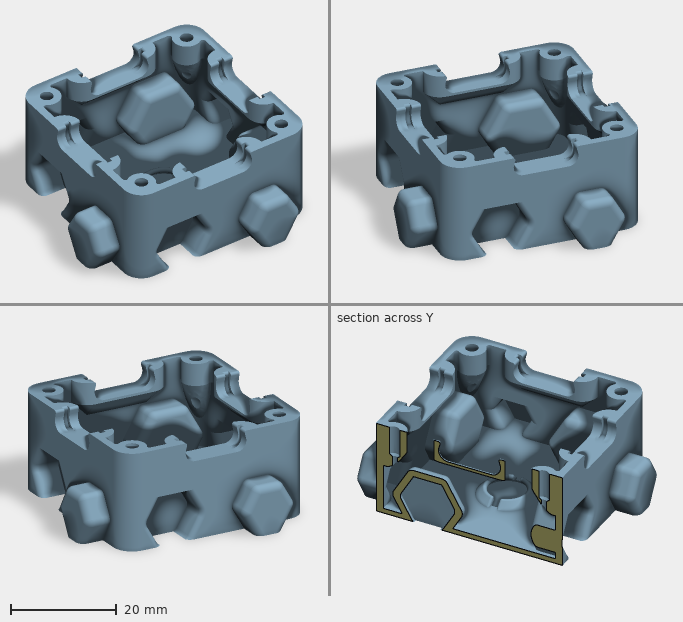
import cadquery as cq
import math

body_side = 40.0
body_height = 20.0
body_corner_radius = 4.0
wall = 1.6
floor_thickness = 1.15

hex_offset = 9.0
hex_height = 5.05
plug_apothem = 5.0
plug_length = 5.0
hex_fillet = 1.5
shell_thickness = 1.5
socket_apothem = 5.2
socket_depth = 5.4
socket_flare = 1.0
hollow_flare = 1.5

post_offset = 16.0
post_radius = 2.8
post_fillet = 0.5
post_foot = 15.5
post_slope = 1.65
screw_hole_diameter = 2.6
screw_tip_diameter = 1.8
screw_hole_depth = 6.0
screw_hole_foot = 8.0

block_half_length = 6.4
block_depth = 3.4
block_foot = 15.5
notch_floor = 16.0
notch_half_floor = 4.6
notch_radius = 2.0
notch_lean = math.radians(15)
lip_radius = 0.45
groove_depth = 0.8
groove_width = 1.2

seat_radius = 5.0
seat_depth = 0.4
ring_outer_radius = 6.05
ring_crest_radius = 4.65
ring_inner_radius = 3.95
ring_height = 1.4
ring_slot = 1.5
ring_end_fillet = 0.4

half_body = body_side / 2
half_cavity = half_body - wall
cavity_corner_radius = body_corner_radius - wall
shell_face = half_body - socket_depth - shell_thickness
socket_top = hex_height + socket_apothem
hollow_apothem = plug_apothem - shell_thickness
hollow_top = hex_height + hollow_apothem
plug_end = half_body + plug_length
spare = 10.0
quarter_turns = (0, 90, 180, 270)


def turned(solid, angle):
    return solid.rotate((0, 0, 0), (0, 0, 1), angle)


def level_slab(low, high):
    """Wide slab between two heights, used to trim solids."""
    side = 2 * (plug_end + spare)
    return cq.Workplane("XY").workplane(offset=low).rect(side, side).extrude(high - low)


def rounded_block(half_side, corner_radius, low):
    """Square block with round corners, from a given height up to the rim."""
    block = cq.Workplane("XY").workplane(offset=low).rect(2 * half_side, 2 * half_side)
    return block.extrude(body_height - low).edges("|Z").fillet(corner_radius)


def pointed_hexagon(apothem, point_side):
    """Hexagon with one flat (1: top, -1: bottom) replaced by the point where its neighbours meet."""
    radius = apothem * 2 / math.sqrt(3)
    flat = -point_side * apothem
    point = point_side * 2 * apothem
    return [(-radius / 2, flat), (radius / 2, flat), (radius, 0), (0, point), (-radius, 0)]


def wall_prism(points, center_x, start_y, length):
    """Prism on the -Y wall, running outward (toward -Y) for a positive length."""
    plane = cq.Workplane("XZ", origin=(center_x, start_y, hex_height))
    return plane.polyline(points).close().extrude(length)


def plug():
    """Rounded plug that stands out from the wall."""
    outline = pointed_hexagon(plug_apothem, -1)
    solid = wall_prism(outline, hex_offset, -half_cavity, plug_end - half_cavity)
    solid = solid.edges("|Y").fillet(hex_fillet).faces("<Y").edges().fillet(hex_fillet)
    return solid.intersect(level_slab(0, body_height))


def socket_shell():
    """Rounded cover inside the cavity that encloses the socket."""
    length = half_cavity + wall / 2 - shell_face
    outline = pointed_hexagon(socket_apothem + shell_thickness, -1)
    solid = wall_prism(outline, -hex_offset, -shell_face, -length).translate((0, -length, 0))
    solid = solid.edges("|Y").fillet(hex_fillet).faces(">Y").edges().fillet(hex_fillet)
    return solid.intersect(level_slab(0, body_height))


def flared_cutter(prism, center_x, mouth_y, direction, flare, low, high):
    """Widen a prism with a rounded mouth at mouth_y, then trim it to the pocket it cuts.

    The direction is 1 when the pocket runs toward +Y from its mouth and -1 toward -Y.
    """
    side = 2 * half_body
    mouth = cq.Workplane("XZ", origin=(center_x, mouth_y, hex_height))
    flange = mouth.rect(side, side).extrude(direction * spare)
    flared = prism.union(flange)
    rim_box = cq.selectors.BoxSelector(
        (center_x - side / 2 + 0.5, mouth_y - 0.05, hex_height - side / 2 + 0.5),
        (center_x + side / 2 - 0.5, mouth_y + 0.05, hex_height + side / 2 - 0.5),
    )
    flared = flared.edges(rim_box).fillet(flare)
    beyond_mouth = mouth.rect(2 * side, 2 * side).extrude(direction * 2 * spare)
    return flared.cut(beyond_mouth).intersect(level_slab(low, high))


def plug_hollow():
    """Hollow of the plug, open to the cavity."""
    length = plug_end - shell_thickness - half_cavity
    prism = wall_prism(pointed_hexagon(hollow_apothem, -1), hex_offset, -half_cavity, length)
    return flared_cutter(prism, hex_offset, -half_cavity, -1, hollow_flare, floor_thickness, hollow_top)


def socket():
    """Socket open to the outside and underneath."""
    prism = wall_prism(pointed_hexagon(socket_apothem, 1), -hex_offset, -half_body, -socket_depth)
    prism = prism.edges("|Y").edges("not >Z").fillet(hex_fillet)
    return flared_cutter(prism, -hex_offset, -half_body, 1, socket_flare, 0, socket_top)


def straight_post():
    """Round upper part of the post in the (+X, +Y) corner."""
    post = cq.Workplane("XY", origin=(post_offset, post_offset, post_foot)).circle(post_radius)
    return post.extrude(body_height - post_foot)


def slanted_foot():
    """Round foot under the post that leans outward until it has passed into the corner."""
    rim = cq.Wire.makeCircle(post_radius, cq.Vector(post_offset, post_offset, post_foot), cq.Vector(0, 0, 1))
    shift = half_body - post_offset + post_radius / math.sqrt(2)
    foot = cq.Solid.extrudeLinear(rim, [], cq.Vector(shift, shift, -shift * math.sqrt(2) * post_slope))
    return cq.Workplane(foot).intersect(wall_core)


def screw_hole():
    """Hole that narrows through a 45 degree cone and leaves through the slanted foot."""
    top_radius = screw_hole_diameter / 2
    tip_radius = screw_tip_diameter / 2
    shoulder = body_height - screw_hole_depth
    profile = cq.Workplane("XZ").moveTo(0, body_height).lineTo(top_radius, body_height)
    profile = profile.lineTo(top_radius, shoulder).lineTo(tip_radius, shoulder - top_radius + tip_radius)
    profile = profile.lineTo(tip_radius, screw_hole_foot).lineTo(0, screw_hole_foot)
    return profile.close().revolve().translate((post_offset, post_offset, 0))


def cable_block():
    """Thick rim block with round ends, on a 45 degree underside that runs out at the wall."""
    center_x = block_half_length
    wall_y = -half_cavity
    rise = body_height - block_foot
    drop_foot = block_foot - block_depth
    block = cq.Workplane("XY").box(2 * center_x, block_depth, rise, centered=(True, False, False))
    block = block.translate((0, wall_y, block_foot))
    wedge = cq.Workplane("YZ", origin=(-center_x, 0, 0))
    wedge = wedge.polyline([(wall_y, block_foot), (wall_y + block_depth, block_foot), (wall_y, drop_foot)])
    block = block.union(wedge.close().extrude(2 * center_x))
    for end_x in (-center_x, center_x):
        end = cq.Workplane("XY", origin=(end_x, wall_y, block_foot)).circle(block_depth).extrude(rise)
        tip = cq.Solid.makeCone(0, block_depth, block_depth, pnt=cq.Vector(end_x, wall_y, drop_foot))
        block = block.union(end).union(cq.Workplane(tip))
    inner_side = cq.Workplane("XY").box(body_side, half_body, body_height, centered=(True, False, False))
    return block.intersect(inner_side.translate((0, wall_y, 0)))


def cable_cutter(grow, start_y, length):
    """Opening with round lower corners, inward-leaning sides and rounded lips, grown sideways."""
    radius = notch_radius + grow
    center_z = notch_floor + notch_radius
    lean_x, lean_z = math.cos(notch_lean), math.sin(notch_lean)
    floor_x = notch_half_floor + math.sqrt(radius**2 - notch_radius**2)
    bulge = (notch_half_floor + radius, center_z)
    lean_start = (notch_half_floor + radius * lean_x, center_z + radius * lean_z)
    lip_z = body_height - lip_radius
    lip_x = notch_half_floor + (radius + lip_radius - (lip_z - center_z) * lean_z) / lean_x
    lean_end = (lip_x - lip_radius * lean_x, lip_z - lip_radius * lean_z)
    lip_angle = math.pi / 4 - notch_lean / 2
    lip_mid = (lip_x - lip_radius * math.cos(lip_angle), lip_z + lip_radius * math.sin(lip_angle))
    half = cq.Workplane("XZ", origin=(0, start_y, 0)).moveTo(0, notch_floor).lineTo(floor_x, notch_floor)
    half = half.threePointArc(bulge, lean_start).lineTo(*lean_end)
    half = half.threePointArc(lip_mid, (lip_x, body_height)).lineTo(0, body_height).close()
    half = half.extrude(length)
    return half.union(half.mirror("YZ"))


def snap_ring():
    """Two curved clips standing around the seat, cone outside and rounded crest inside."""
    base = floor_thickness - seat_depth
    crest = floor_thickness + ring_height
    lip_low = crest - ring_crest_radius + ring_inner_radius
    profile = cq.Workplane("XZ").moveTo(seat_radius, base).lineTo(ring_outer_radius, base)
    profile = profile.lineTo(ring_outer_radius, floor_thickness).lineTo(ring_crest_radius, crest)
    profile = profile.tangentArcPoint((ring_inner_radius, lip_low), relative=False)
    profile = profile.lineTo(seat_radius, floor_thickness).close()
    ring = profile.revolve()
    reach = ring_outer_radius + 0.5
    slot = cq.Workplane("XY").rect(ring_slot, 2 * reach).extrude(body_height)
    ring = ring.cut(slot)
    return ring.edges("%HYPERBOLA").edges(">Z").fillet(ring_end_fillet)


outer_block = rounded_block(half_body, body_corner_radius, 0)
wall_core = rounded_block(half_cavity + wall / 2, cavity_corner_radius + wall / 2, 0)
cavity = rounded_block(half_cavity, cavity_corner_radius, floor_thickness)

body = outer_block.cut(cavity)
for angle in quarter_turns:
    body = body.union(turned(straight_post(), angle))
seam_reach = half_cavity + wall / 2
seam_zone = cq.selectors.BoxSelector(
    (-seam_reach, -seam_reach, post_foot), (seam_reach, seam_reach, body_height)
)
body = body.edges("|Z").edges(seam_zone).fillet(post_fillet)

groove_start = -(half_body + half_cavity - block_depth) / 2 + groove_width / 2
for angle in quarter_turns:
    for addition in (slanted_foot(), cable_block(), plug(), socket_shell()):
        body = body.union(turned(addition, angle))

for angle in quarter_turns:
    notch = cable_cutter(0, 0, half_body + 0.5)
    groove = cable_cutter(groove_depth, groove_start, groove_width)
    for removal in (plug_hollow(), socket(), screw_hole(), notch, groove):
        body = body.cut(turned(removal, angle))

seat = cq.Workplane("XY").workplane(offset=floor_thickness - seat_depth).circle(seat_radius).extrude(seat_depth)
result = body.cut(seat).union(snap_ring())